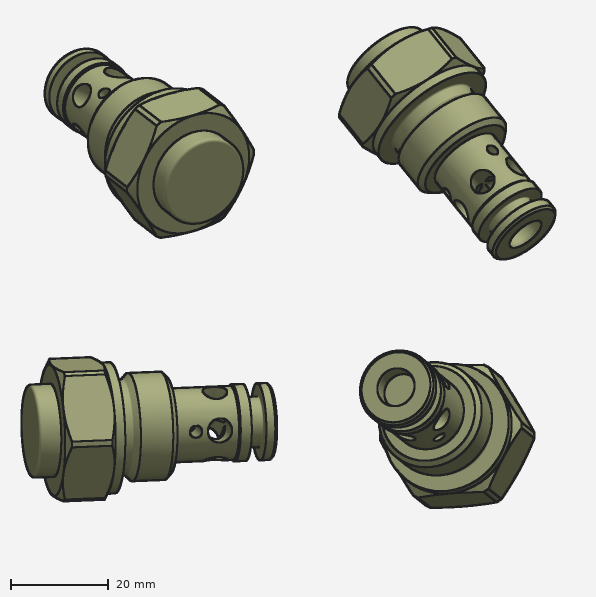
import cadquery as cq
import math

GROOVE_START = 2.35
GROOVE_END = 5.4
LAND_END = 8.0
BODY_START = 21.35
BODY_END = 29.25
FLANGE_START = 33.0
HEX_START = 35.0
HEX_END = 45.55
LENGTH = 50.05

LAND_R = 7.9
GROOVE_R = 5.2
SLEEVE_R = 7.6
BODY_R = 11.1
NECK_R = 9.85
FLANGE_R = 13.45
CAP_R = 9.55

CONE_ANGLE = 45
NECK_START = BODY_END + (BODY_R - NECK_R) / math.tan(math.radians(CONE_ANGLE))

NOSE_CHAMFER = 0.5
LAND_CHAMFER = LAND_R - SLEEVE_R
BODY_CHAMFER = 1.1
GROOVE_FILLET = 0.2
NECK_FILLET = 0.4
CAP_FILLET = 0.65
BORE_MOUTH_R = 4.0
BORE_MOUTH_LENGTH = 0.75

HEX_FLATS = 27.0
HEX_TURN = 30
HEX_CORNERS = 30.5
HEX_CORNER_R = HEX_CORNERS / 2
HEX_CHAMFER_LENGTH = 1.05

BORE_R = 3.8
BORE_DEPTH = 4.0
PORT_X = 11.95
PORT_D = 5.0
PORT_COUNT = 5
PILOT_X = 16.95
PILOT_D = 2.5
PILOT_COUNT = 3


def revolve_about_x(outline):
    return outline.close().revolve(360, (0, 0, 0), (1, 0, 0))


def turned_body():
    """Nose, seal groove, sleeve, body, neck, flange and end cap as one turned shape."""
    tangent = NECK_FILLET * math.tan(math.radians(CONE_ANGLE / 2))
    cone_tangent_x = NECK_START - tangent * math.cos(math.radians(CONE_ANGLE))
    cone_tangent_r = NECK_R + tangent * math.sin(math.radians(CONE_ANGLE))
    outline = (
        cq.Workplane("XY")
        .lineTo(0, LAND_R - NOSE_CHAMFER)
        .lineTo(NOSE_CHAMFER, LAND_R)
        .lineTo(GROOVE_START, LAND_R)
        .lineTo(GROOVE_START, GROOVE_R + GROOVE_FILLET)
        .radiusArc((GROOVE_START + GROOVE_FILLET, GROOVE_R), -GROOVE_FILLET)
        .lineTo(GROOVE_END - GROOVE_FILLET, GROOVE_R)
        .radiusArc((GROOVE_END, GROOVE_R + GROOVE_FILLET), -GROOVE_FILLET)
        .lineTo(GROOVE_END, LAND_R)
        .lineTo(LAND_END - LAND_CHAMFER, LAND_R)
        .lineTo(LAND_END, SLEEVE_R)
        .lineTo(BODY_START, SLEEVE_R)
        .lineTo(BODY_START, BODY_R - BODY_CHAMFER)
        .lineTo(BODY_START + BODY_CHAMFER, BODY_R)
        .lineTo(BODY_END, BODY_R)
        .lineTo(cone_tangent_x, cone_tangent_r)
        .radiusArc((NECK_START + tangent, NECK_R), -NECK_FILLET)
        .lineTo(FLANGE_START - NECK_FILLET, NECK_R)
        .radiusArc((FLANGE_START, NECK_R + NECK_FILLET), -NECK_FILLET)
        .lineTo(FLANGE_START, FLANGE_R)
        .lineTo(HEX_END, FLANGE_R)
        .lineTo(HEX_END, CAP_R)
        .lineTo(LENGTH - CAP_FILLET, CAP_R)
        .radiusArc((LENGTH, CAP_R - CAP_FILLET), CAP_FILLET)
        .lineTo(LENGTH, 0)
    )
    return revolve_about_x(outline)


def hexagon():
    """Hexagon with flats facing +Z and -Z, turned at its corners and coned at both ends."""
    prism = (
        cq.Workplane("YZ", origin=(HEX_START, 0, 0))
        .polygon(6, HEX_FLATS, circumscribed=True)
        .extrude(HEX_END - HEX_START)
        .rotate((0, 0, 0), (1, 0, 0), HEX_TURN)
    )
    envelope = revolve_about_x(
        cq.Workplane("XY")
        .moveTo(HEX_START, 0)
        .lineTo(HEX_START, FLANGE_R)
        .lineTo(HEX_START + HEX_CHAMFER_LENGTH, HEX_CORNER_R)
        .lineTo(HEX_END - HEX_CHAMFER_LENGTH, HEX_CORNER_R)
        .lineTo(HEX_END, FLANGE_R)
        .lineTo(HEX_END, 0)
    )
    return prism.intersect(envelope)


def bore():
    """Blind bore from the nose with a slender cone at its mouth."""
    return revolve_about_x(
        cq.Workplane("XY")
        .lineTo(0, BORE_MOUTH_R)
        .lineTo(BORE_MOUTH_LENGTH, BORE_R)
        .lineTo(BORE_DEPTH, BORE_R)
        .lineTo(BORE_DEPTH, 0)
    )


def radial_holes(x, diameter, count):
    """Holes from the axis out through the sleeve, spaced evenly, the first facing +Y."""
    holes = cq.Workplane("XY")
    first = cq.Solid.makeCylinder(diameter / 2, LAND_R, cq.Vector(x, 0, 0), cq.Vector(0, 1, 0))
    for i in range(count):
        hole = first.rotate(cq.Vector(0, 0, 0), cq.Vector(1, 0, 0), 360 / count * i)
        holes = holes.add(hole)
    return holes.combine()


result = turned_body().union(hexagon()).cut(bore())
result = result.cut(radial_holes(PORT_X, PORT_D, PORT_COUNT))
result = result.cut(radial_holes(PILOT_X, PILOT_D, PILOT_COUNT))